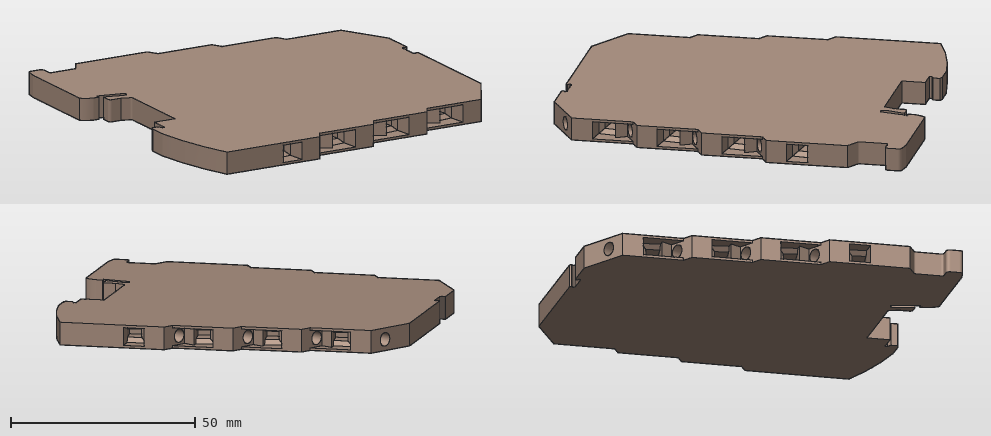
import cadquery as cq
import math

width = 93.1
height = 101.2
thickness = 6.3
half_width = width / 2
mid_z = thickness / 2

slope_angle = math.radians(30)
slope = math.tan(slope_angle)
step_count = 3
step_width = 2.88
step_rise = step_width * slope
level_pitch = 18.5
top_step_y = 76.65
top_half_width = half_width - step_count * step_width
top_chamfer_width = 13.0
top_chamfer_drop = top_chamfer_width * slope

notch_x = -12.1
notch_lip_half, notch_lip_depth = 2.75, 0.4
notch_mouth_half = 3.15
notch_back_half, notch_back_depth = 3.3, 1.0
notch_floor_half, notch_depth = 3.0, 1.5

left_wall_end_y = 15.5
foot_neck_x = -42.6
foot_neck_y = left_wall_end_y - (half_width + foot_neck_x) * slope
foot_top_y = 5.1
foot_corner = 1.0
foot_tip_radius = 6.8
inner_corner_radius = 0.6
foot_toe_width, foot_toe_rise = 3.9, 0.5
foot_end_x, foot_tip_x, foot_tip_y = -17.75, -16.0, 3.4
rail_seat_y = 12.6
rail_left_x, rail_right_x = -11.1, 12.1
rail_lip_y = 6.1

slot_bottom_x, slot_top_x = -17.2, -15.75
slot_side_y, slot_top_y = 12.0, 12.9
slot_right_x, slot_right_y = -14.1, 11.2
finger_left_x, finger_bend_y = -15.3, 7.2
finger_right_x, finger_knee_y = -12.1, 9.7
finger_round = 0.8

hook_x, hook_throat_x = 16.4, 17.6
hook_throat_y, hook_top_y = 5.4, 4.8
hook_bottom_y = 2.5
hook_corner_width, hook_corner_rise = 1.1, 0.4
belly_start_x = 22.9
belly_mid = (34.6, 4.8)
belly_end_y = 8.9

opening_thickness = 4.9
ledge_floor_rise = 2.34
ledge_wall_rise = 5.4
entry_tilt = math.radians(8)
entry_top_rise = 11.25
entry_depth = 5.0
funnel_inset = 1.35
funnel_length = 1.1
wire_thickness = 2.3
wire_length = 5.0
overlap = 0.5

screw_diameter = 3.7
screw_rise = 1.25
screw_depth = 8.0


def shoulder(side):
    """Points of one shoulder from the bottom level up to the top edge."""
    points = []
    for level in range(step_count):
        wall_x = half_width - level * step_width
        step_top = top_step_y - (step_count - 1 - level) * level_pitch
        points.append((side * wall_x, step_top - step_rise))
        points.append((side * (wall_x - step_width), step_top))
    points.append((side * top_half_width, height - top_chamfer_drop))
    points.append((side * (top_half_width - top_chamfer_width), height))
    return points


def notch():
    """Points of the snap-in notch, from left to right."""
    half_profile = [
        (notch_mouth_half, 0),
        (notch_lip_half, notch_lip_depth),
        (notch_back_half, notch_back_depth),
        (notch_floor_half, notch_depth),
    ]
    points = [(notch_x - half, height - depth) for half, depth in half_profile]
    points += [(notch_x + half, height - depth) for half, depth in reversed(half_profile)]
    return points


def add_lines(sketch, points):
    for point in points:
        sketch = sketch.lineTo(*point)
    return sketch


def body():
    outline = cq.Workplane("XY").moveTo(-half_width, left_wall_end_y)
    outline = add_lines(outline, shoulder(-1) + notch() + shoulder(1)[::-1])

    outline = outline.lineTo(half_width, belly_end_y)
    outline = outline.threePointArc(belly_mid, (belly_start_x, hook_bottom_y))
    outline = add_lines(outline, [
        (hook_x + hook_corner_width, hook_bottom_y),
        (hook_x, hook_bottom_y + hook_corner_rise),
        (hook_x, hook_top_y),
        (hook_throat_x, hook_throat_y),
        (hook_throat_x, rail_lip_y),
        (rail_right_x, rail_lip_y),
        (rail_right_x, rail_seat_y),
        (rail_left_x, rail_seat_y),
    ])

    outline = add_lines(outline, [
        (finger_right_x, finger_knee_y),
        (finger_right_x, rail_lip_y + finger_round),
    ])
    outline = outline.radiusArc((finger_right_x - finger_round, rail_lip_y), finger_round)
    outline = add_lines(outline, [
        (finger_left_x, rail_lip_y),
        (finger_left_x, finger_bend_y),
        (slot_right_x, slot_right_y),
        (slot_right_x, slot_side_y),
    ])
    outline = outline.threePointArc(
        ((slot_right_x + slot_top_x) / 2, slot_top_y), (slot_top_x, slot_side_y)
    )

    outline = add_lines(outline, [
        (slot_bottom_x, foot_top_y),
        (foot_tip_x, foot_top_y),
        (foot_tip_x, foot_tip_y),
    ])
    outline = outline.radiusArc((foot_end_x, 0), foot_tip_radius)
    outline = add_lines(outline, [
        (-half_width + foot_toe_width, 0),
        (-half_width + foot_corner, foot_toe_rise),
    ])
    outline = outline.radiusArc((-half_width, foot_toe_rise + foot_corner), foot_corner)
    outline = outline.lineTo(-half_width, foot_top_y - foot_corner)
    outline = outline.radiusArc((-half_width + foot_corner, foot_top_y), foot_corner)
    outline = add_lines(outline, [(foot_neck_x, foot_top_y), (foot_neck_x, foot_neck_y)])
    return outline.close().extrude(thickness)


def round_inner_corners(plate):
    """Round the inner corners of the foot neck and the rail seat."""
    corners = [(foot_neck_x, foot_neck_y), (foot_neck_x, foot_top_y), (rail_left_x, rail_seat_y)]
    for x, y in corners:
        edge = cq.selectors.NearestToPointSelector((x, y, mid_z))
        plate = plate.edges(edge).fillet(inner_corner_radius)
    return plate


def prism(points, prism_thickness):
    """Plate of the given XY outline, centred in the part thickness."""
    return (
        cq.Workplane("XY", origin=(0, 0, mid_z))
        .polyline(points)
        .close()
        .extrude(prism_thickness / 2, both=True)
    )


def wire_opening(wall_x, corner_y):
    """Tilted wire entry ending in a tapering funnel and a rectangular channel."""
    taper = math.tan(entry_tilt)
    low_y = corner_y + ledge_wall_rise
    high_y = corner_y + entry_top_rise
    mouth_x = wall_x + entry_depth
    mouth_y = high_y - entry_depth * taper
    mouth_drop = mouth_y - low_y
    entry = prism([
        (wall_x - overlap, low_y),
        (wall_x - overlap, high_y + overlap * taper),
        (mouth_x, mouth_y),
        (mouth_x - mouth_drop * taper, low_y),
    ], opening_thickness)

    mouth_length = mouth_drop / math.cos(entry_tilt)
    wire_width = mouth_length - funnel_inset
    mouth_plane = cq.Plane(
        origin=(mouth_x, mouth_y, mid_z),
        xDir=(-math.sin(entry_tilt), -math.cos(entry_tilt), 0),
        normal=(math.cos(entry_tilt), -math.sin(entry_tilt), 0),
    )
    funnel = (
        cq.Workplane(mouth_plane)
        .center(mouth_length / 2, 0)
        .rect(mouth_length, opening_thickness)
        .workplane(offset=funnel_length)
        .center(funnel_inset / 2, 0)
        .rect(wire_width, wire_thickness)
        .loft(ruled=True)
    )
    channel = (
        cq.Workplane(mouth_plane)
        .center(funnel_inset + wire_width / 2, 0)
        .rect(wire_width, wire_thickness)
        .extrude(funnel_length + wire_length)
    )
    return entry.union(funnel).union(channel)


def screw_ledge(wall_x, corner_y):
    """Notch whose floor continues the step slope inward to a wall square to it."""
    floor_x = wall_x + ledge_floor_rise / slope
    ledge_wall_x = floor_x - (ledge_wall_rise - ledge_floor_rise) * slope
    return prism([
        (wall_x - overlap, corner_y - overlap * slope),
        (floor_x, corner_y + ledge_floor_rise),
        (ledge_wall_x, corner_y + ledge_wall_rise),
        (wall_x - overlap, corner_y + ledge_wall_rise),
    ], opening_thickness)


def screw_hole(wall_x, corner_y):
    """Round hole square to the slope that rises inward from the given corner."""
    centre = cq.Vector(wall_x + screw_rise / slope, corner_y + screw_rise, mid_z)
    inward = cq.Vector(math.sin(slope_angle), -math.cos(slope_angle), 0)
    across = cq.Vector(math.cos(slope_angle), math.sin(slope_angle), 0)
    plane = cq.Plane(origin=centre - inward * overlap, xDir=across, normal=inward)
    return cq.Workplane(plane).circle(screw_diameter / 2).extrude(screw_depth + overlap)


def terminal_cuts():
    """All openings along the left edge."""
    chamfer_y = height - top_chamfer_drop
    rise = top_step_y + level_pitch - chamfer_y
    cuts = screw_hole(-top_half_width + rise / slope, chamfer_y + rise)
    for level in range(step_count + 1):
        wall_x = -top_half_width - level * step_width
        corner_y = top_step_y - level * level_pitch
        cuts = cuts.union(wire_opening(wall_x, corner_y))
        if level < step_count:
            cuts = cuts.union(screw_ledge(wall_x, corner_y))
            cuts = cuts.union(screw_hole(wall_x, corner_y))
    return cuts


left_cuts = terminal_cuts()
result = round_inner_corners(body()).cut(left_cuts).cut(left_cuts.mirror("YZ"))